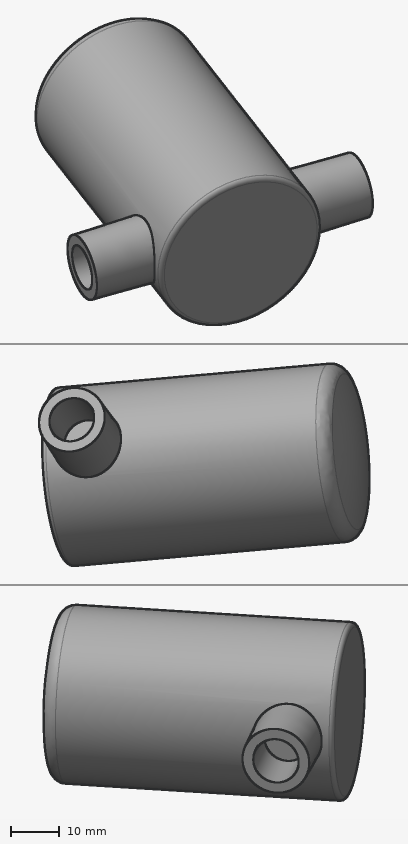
import cadquery as cq
import math

body_length = 63.0
body_radius = 18.5
dome_radius = 75.0
dome_edge_radius = 3.0
flat_end_edge_radius = 1.0

port_span = 63.2
port_from_flat_end = 9.75
port_tip_diameter = 14.0
port_draft_angle = 1.0
bore_diameter = 9.5

port_tip_y = port_span / 2
port_tip_radius = port_tip_diameter / 2
port_axis_radius = port_tip_radius + port_tip_y * math.tan(math.radians(port_draft_angle))
bore_depth = port_tip_y - body_radius


def make_body():
    """Revolve half of the lengthwise section about the X axis, then round both rims."""
    apex_x = -body_length
    dome_center_x = apex_x + dome_radius
    dome_rim_x = dome_center_x - math.sqrt(dome_radius**2 - body_radius**2)
    half_rim_angle = math.asin(body_radius / dome_radius) / 2
    dome_middle = (
        dome_center_x - dome_radius * math.cos(half_rim_angle),
        dome_radius * math.sin(half_rim_angle),
    )
    body = (
        cq.Workplane("XY")
        .moveTo(apex_x, 0)
        .threePointArc(dome_middle, (dome_rim_x, body_radius))
        .lineTo(0, body_radius)
        .lineTo(0, 0)
        .close()
        .revolve(360, (0, 0, 0), (1, 0, 0))
    )
    body = body.faces("%CYLINDER").edges("<X").fillet(dome_edge_radius)
    return body.faces(">X").edges().fillet(flat_end_edge_radius)


def make_ports():
    """Two cones joined base to base on the body axis, narrowing towards the tips."""
    ports = (
        cq.Workplane("XY")
        .polyline(
            [
                (0, -port_tip_y),
                (port_tip_radius, -port_tip_y),
                (port_axis_radius, 0),
                (port_tip_radius, port_tip_y),
                (0, port_tip_y),
            ]
        )
        .close()
        .revolve(360, (0, 0, 0), (0, 1, 0))
    )
    return ports.translate((-port_from_flat_end, 0, 0))


def cut_bores(part):
    """Cut one blind bore into the tip of each port."""
    for side in (-1, 1):
        bore = cq.Solid.makeCylinder(
            bore_diameter / 2,
            bore_depth,
            cq.Vector(-port_from_flat_end, side * port_tip_y, 0),
            cq.Vector(0, -side, 0),
        )
        part = part.cut(cq.Workplane(obj=bore))
    return part


result = cut_bores(make_body().union(make_ports()))